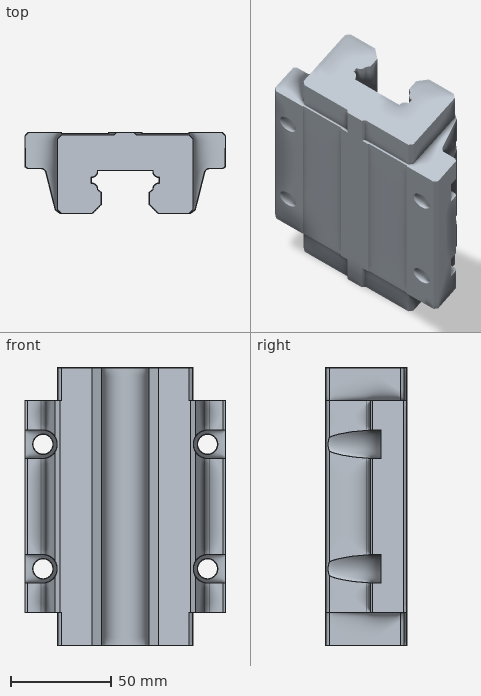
import cadquery as cq
import math


total_length = 138.5
height = 40.5
flange_width = 100.0
bottom_chamfer = 2.0

block_length = 105.8
flange_thickness = 18.0
flange_top_chamfer = 1.7
flange_side_draft = 0.1
flange_bottom_chamfer_width = 1.2
flange_bottom_chamfer_height = 0.8
skirt_half_width_bottom = 34.9
skirt_draft_angle = 14.0
skirt_fillet = 2.6
skirt_chamfer_width = 2.5

cap_width = 67.3
cap_top_drop = 1.4
cap_top_chamfer = 1.8
cap_ridge_half_width = 4.3

relief_depth = 0.4
relief_inner_x = 8.3
relief_outer_x = cap_width / 2 - cap_top_chamfer

channel_depth = 19.0
channel_half_width = 13.7
race_radius = 3.2
race_half_width = channel_half_width + race_radius
race_upper_center_depth = 19.3
race_gap = 2.8
mouth_half_width = 11.9
mouth_lip_height = 1.5
mouth_chamfer = 4.6

hole_diameter = 10.0
hole_spacing_x = 82.0
hole_spacing_z = 62.0
slot_width = 14.1
slot_depth = 12.9


def extrude_symmetric(half_outline, length):
    """Close a +X half outline along X = 0, extrude it about Z = 0 and mirror it."""
    half = half_outline.close().extrude(length / 2, both=True)
    return half.union(half.mirror("YZ"))


def make_block():
    half_width = flange_width / 2
    side_bottom_x = half_width - flange_side_draft
    chamfer_start_depth = height - bottom_chamfer
    draft = math.radians(skirt_draft_angle)

    corner_x = skirt_half_width_bottom + (chamfer_start_depth - flange_thickness) * math.tan(draft)
    tangent = skirt_fillet * math.tan((math.pi / 2 - draft) / 2)
    fillet_end_x = corner_x - tangent * math.sin(draft)
    fillet_end_depth = flange_thickness + tangent * math.cos(draft)

    outline = (
        cq.Workplane("XY")
        .moveTo(0, 0)
        .lineTo(half_width - flange_top_chamfer, 0)
        .lineTo(half_width, -flange_top_chamfer)
        .lineTo(side_bottom_x, -(flange_thickness - flange_bottom_chamfer_height))
        .lineTo(side_bottom_x - flange_bottom_chamfer_width, -flange_thickness)
        .lineTo(corner_x + tangent, -flange_thickness)
        .radiusArc((fillet_end_x, -fillet_end_depth), -skirt_fillet)
        .lineTo(skirt_half_width_bottom, -chamfer_start_depth)
        .lineTo(skirt_half_width_bottom - skirt_chamfer_width, -height)
        .lineTo(0, -height)
    )
    return extrude_symmetric(outline, block_length)


def make_reliefs():
    width = relief_outer_x - relief_inner_x
    center_x = (relief_outer_x + relief_inner_x) / 2
    return (
        cq.Workplane("XY")
        .pushPoints([(-center_x, 0), (center_x, 0)])
        .rect(width, 2 * relief_depth)
        .extrude(block_length / 2, both=True)
    )


def make_cap_core():
    """Full-length body whose ends form the two end caps."""
    half_width = cap_width / 2
    outline = (
        cq.Workplane("XY")
        .moveTo(0, 0)
        .lineTo(cap_ridge_half_width, 0)
        .lineTo(cap_ridge_half_width + cap_top_drop, -cap_top_drop)
        .lineTo(half_width - cap_top_chamfer, -cap_top_drop)
        .lineTo(half_width, -(cap_top_drop + cap_top_chamfer))
        .lineTo(half_width, -(height - bottom_chamfer))
        .lineTo(half_width - bottom_chamfer, -height)
        .lineTo(0, -height)
    )
    return extrude_symmetric(outline, total_length)


def make_channel():
    lower_center_depth = race_upper_center_depth + 2 * race_radius + race_gap
    lip_depth = lower_center_depth + mouth_lip_height
    outline = (
        cq.Workplane("XY")
        .moveTo(0, -channel_depth)
        .lineTo(channel_half_width, -channel_depth)
        .lineTo(channel_half_width, -race_upper_center_depth)
        .radiusArc((race_half_width, -(race_upper_center_depth + race_radius)), -race_radius)
        .lineTo(race_half_width, -(lower_center_depth - race_radius))
        .radiusArc((channel_half_width, -lower_center_depth), -race_radius)
        .lineTo(mouth_half_width, -lip_depth)
        .lineTo(mouth_half_width, -(height - mouth_chamfer))
        .lineTo(mouth_half_width + mouth_chamfer, -height)
        .lineTo(0, -height)
    )
    return extrude_symmetric(outline, total_length)


def make_mounting_cut(side, end):
    """Through hole with a round-ended slot open to the flange side and the underside."""
    hole_x = side * hole_spacing_x / 2
    hole_z = end * hole_spacing_z / 2
    slot_run = flange_width / 2 - hole_spacing_x / 2
    slot_plane = cq.Workplane("XZ", origin=(hole_x, -slot_depth, hole_z))
    slot_height = height - slot_depth

    hole = cq.Workplane("XZ", origin=(hole_x, 0, hole_z)).circle(hole_diameter / 2).extrude(height)
    slot_end = slot_plane.circle(slot_width / 2).extrude(slot_height)
    slot_side = slot_plane.center(side * slot_run / 2, 0).rect(slot_run, slot_width).extrude(slot_height)
    return hole.union(slot_end).union(slot_side)


block = make_block().cut(make_reliefs())
for side in (-1, 1):
    for end in (-1, 1):
        block = block.cut(make_mounting_cut(side, end))

block_space = cq.Workplane("XY").box(cap_width, height, block_length).translate((0, -height / 2, 0))
caps = make_cap_core().cut(block_space)

result = block.union(caps).cut(make_channel())